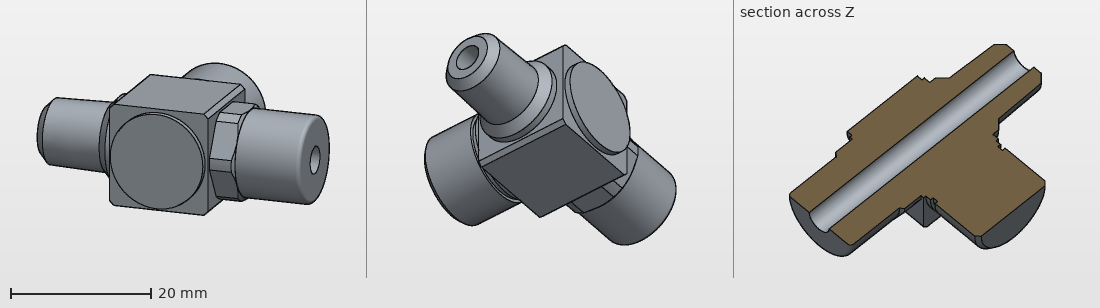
import cadquery as cq
import math


body_length = 15.0
body_height = 15.15
body_chamfer = 0.65

branch_radius = 7.05
collar_height = 0.95
branch_end = 18.2
branch_chamfer = 0.65
groove_width = 0.85
groove_radius = 6.5

run_length = 41.0
spigot_end = -20.0
tip_radius = 3.55
tip_length = 1.27
taper_small_radius = 4.85
taper_large_radius = 5.1
taper_length = 8.75
shoulder_radius = 6.48
shoulder_chamfer = shoulder_radius - taper_large_radius

hex_flats = 13.0
hex_corner_radius = 7.05
hex_length = 3.7
hex_bevel_length = 0.35
hex_end_radius = 6.48
socket_radius = 6.45
socket_rounding = 0.6

bore_radius = 2.0

body_half_length = body_length / 2
body_half_width = body_height / 2
run_end = spigot_end + run_length


def turned_about_x(profile):
    """Revolve (x, radius) points, closed along the X axis."""
    points = [(profile[0][0], 0)] + profile + [(profile[-1][0], 0)]
    return cq.Workplane("XY").polyline(points).close().revolve(360, (0, 0, 0), (1, 0, 0))


def turned_about_y(profile):
    """Revolve (radius, y) points, closed along the Y axis."""
    points = [(0, profile[0][1])] + profile + [(0, profile[-1][1])]
    return cq.Workplane("XY").polyline(points).close().revolve(360, (0, 0, 0), (0, 1, 0))


def make_body():
    block = cq.Workplane("XY").box(body_length, body_height, body_height)
    return block.edges("|Y").chamfer(body_chamfer)


def make_branch():
    boss_end = body_half_width + collar_height
    groove_end = boss_end + groove_width
    return turned_about_y([
        (branch_radius, -boss_end),
        (branch_radius, boss_end),
        (groove_radius, boss_end),
        (groove_radius, groove_end),
        (branch_radius, groove_end),
        (branch_radius, branch_end - branch_chamfer),
        (branch_radius - branch_chamfer, branch_end),
    ])


def make_spigot():
    taper_start = spigot_end + tip_length
    taper_end = taper_start + taper_length
    return turned_about_x([
        (spigot_end, tip_radius),
        (taper_start, taper_small_radius),
        (taper_end, taper_large_radius),
        (taper_end + shoulder_chamfer, shoulder_radius),
        (0, shoulder_radius),
    ])


def make_hexagon():
    hex_end = body_half_length + hex_length
    corner_diameter = hex_flats / math.cos(math.pi / 6)
    prism = cq.Workplane("YZ").polygon(6, corner_diameter).extrude(hex_end)
    envelope = turned_about_x([
        (0, hex_corner_radius),
        (hex_end - hex_bevel_length, hex_corner_radius),
        (hex_end, hex_end_radius),
    ])
    return prism.intersect(envelope)


def make_socket():
    cylinder = cq.Workplane("YZ").circle(socket_radius).extrude(run_end)
    return cylinder.faces(">X").edges().fillet(socket_rounding)


def make_run_bore():
    return cq.Workplane("YZ", origin=(spigot_end, 0, 0)).circle(bore_radius).extrude(run_length)


result = make_body()
for feature in (make_branch(), make_spigot(), make_hexagon(), make_socket()):
    result = result.union(feature)
result = result.cut(make_run_bore())